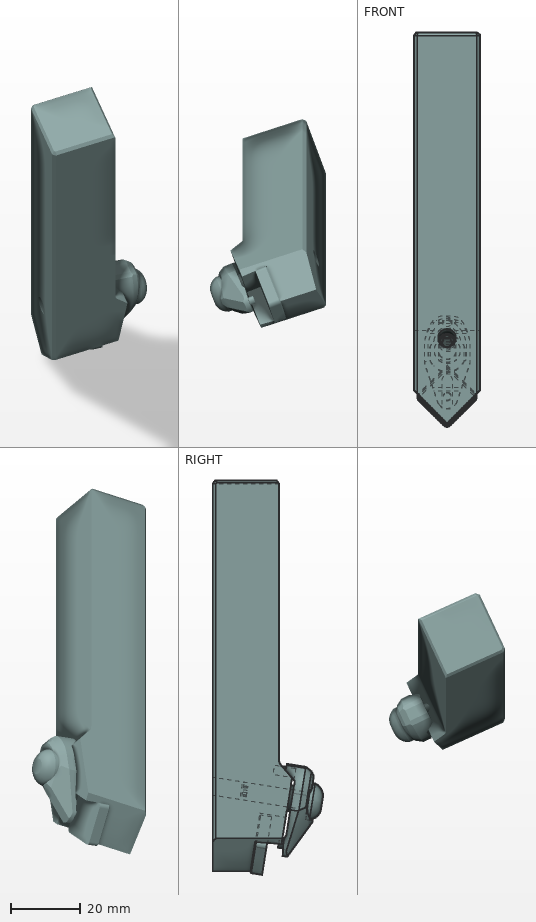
import cadquery as cq
import math

LENGTH = 113.6
WIDTH = 19.1
DEPTH = 19.1
EDGE_CHAMFER = 0.9
TOP_CHAMFER = 0.7
TIP_Z = 1.0

TILT = 9.0
AXIS_Y = 21.9
AXIS_Z = 22.2
HEAD_TOP_Y = 22.8
SHOULDER_ANGLE = 50.0
SHOULDER_FILLET = 2.3

SHIM_SIDE = 12.7
SQUARE_TURN = 45.0
SHIM_THICKNESS = 3.5
SHIM_CORNER = 1.1
SHIM_CHAMFER = 0.3
SHIM_TOP_Y = 15.6
SHIM_CENTRE_Z = 8.4

CLAMP_HALF_WIDTH = 6.6
CLAMP_REAR = 9.7
CLAMP_REAR_HALF_WIDTH = 2.6
CLAMP_REAR_FLAT = 1.7
CLAMP_REAR_SLOPE = 17.0
CLAMP_SIDE_START = 1.6
CLAMP_SIDE_END = -3.3
CLAMP_TIP = -16.8
CLAMP_TIP_RADIUS = 3.0
CLAMP_GAP = 0.9
CLAMP_WALL_HEIGHT = 3.4
LOWER_BEVEL_HEIGHT = 1.8
CLAMP_TOP = 6.1
CLAMP_PEAK = 7.8
CLAMP_PEAK_POSITION = -5.7
LOWER_BEVEL = 30.0
UPPER_BEVEL = 55.0
NOSE_BEVEL = 45.0
NOSE_CREST_HALF_WIDTH = 1.5
HOOK_DEPTH = 2.2
NOSE_HEIGHT = 2.2
NOSE_PAD_START = -11.8
NOSE_PAD_HEIGHT = 0.4
NOSE_PAD_END = -10.7
NOSE_TIP_HEIGHT = 0.8
PEG_RADIUS = 1.1
PEG_POSITION = -13.5
PEG_END = -0.9

SCREW_RADIUS = 2.56
SCREW_END = -14.0
SCREW_END_CHAMFER = 0.5
HEAD_RADIUS = 5.3
HEAD_SEAT = 5.7
HEAD_RIM = 6.8
HEAD_TOP = 9.7
HEAD_TOP_RADIUS = 2.3
DOME_MID_RADIUS = 4.3
DOME_MID_HEIGHT = 8.5
SOCKET_RADIUS = 1.4
SOCKET_LOBE_RADIUS = 0.3
SOCKET_LOBES = 6
SOCKET_DEPTH = 1.7

WASHER_RADIUS = 3.7
PIN_RADIUS = 1.4
PIN_POSITION = 7.4
PIN_START = -5.7
PIN_END = 0.6

SIN = math.sin(math.radians(TILT))
COS = math.cos(math.radians(TILT))
SHOULDER_BOTTOM_Z = AXIS_Z + (HEAD_TOP_Y - AXIS_Y) * COS / SIN
SHOULDER_POSITION = (HEAD_TOP_Y - AXIS_Y) / SIN
SHOULDER_SLOPE = math.tan(math.radians(SHOULDER_ANGLE - TILT))
SHOULDER_TOP_Z = SHOULDER_BOTTOM_Z + (HEAD_TOP_Y - DEPTH) * math.tan(math.radians(SHOULDER_ANGLE))
REACH = 68.2


def tilted_plane(y, z):
    """Plane leaning by TILT: local x is X, local y points up the slope, the normal points outward."""
    return cq.Plane(origin=(0, y, z), xDir=(-1, 0, 0), normal=(0, COS, -SIN))


def clamp_plane(height=0.0):
    """Plane parallel to the clamping face, centred on the clamp screw axis."""
    return tilted_plane(AXIS_Y + height * COS, AXIS_Z - height * SIN)


def cylinder(radius, start, end, position=0.0):
    """Cylinder parallel to the clamp screw axis, shifted up the clamping face by position."""
    return cq.Workplane(clamp_plane(start)).center(0, position).circle(radius).extrude(end - start)


def face_y(z):
    """Y of the clamping face at height z."""
    return AXIS_Y + (z - AXIS_Z) * SIN / COS


def make_shim():
    shim = (
        cq.Workplane(tilted_plane(SHIM_TOP_Y, SHIM_CENTRE_Z))
        .transformed(rotate=(0, 0, SQUARE_TURN))
        .rect(SHIM_SIDE, SHIM_SIDE)
        .extrude(-SHIM_THICKNESS)
    )
    along_normal = cq.Vector(0, COS, -SIN)
    shim = shim.edges(cq.selectors.ParallelDirSelector(along_normal)).fillet(SHIM_CORNER)
    lower_face = cq.selectors.DirectionMinMaxSelector(along_normal, False)
    return shim.faces(lower_face).chamfer(SHIM_CHAMFER)


def make_pocket():
    """Space above the shim seat, reaching out through the clamping face."""
    seat = tilted_plane(SHIM_TOP_Y - SHIM_THICKNESS * COS, SHIM_CENTRE_Z + SHIM_THICKNESS * SIN)
    return (
        cq.Workplane(seat).transformed(rotate=(0, 0, SQUARE_TURN)).rect(SHIM_SIDE, SHIM_SIDE).extrude(REACH)
    )


def make_holder():
    holder = (
        cq.Workplane("YZ")
        .polyline(
            [
                (0, TIP_Z),
                (0, LENGTH),
                (DEPTH, LENGTH),
                (DEPTH, SHOULDER_TOP_Z),
                (HEAD_TOP_Y, SHOULDER_BOTTOM_Z),
                (face_y(TIP_Z), TIP_Z),
            ]
        )
        .close()
        .extrude(WIDTH / 2, both=True)
    )
    shoulder = cq.selectors.NearestToPointSelector((0, DEPTH, SHOULDER_TOP_Z))
    holder = holder.edges(shoulder).fillet(SHOULDER_FILLET)
    holder = holder.edges("|Z and <Y").chamfer(EDGE_CHAMFER)
    holder = holder.faces(">Z").chamfer(TOP_CHAMFER, EDGE_CHAMFER)

    point = (
        cq.Workplane("XZ")
        .moveTo(0, TIP_Z)
        .lineTo(LENGTH, TIP_Z + LENGTH)
        .lineTo(-LENGTH, TIP_Z + LENGTH)
        .close()
        .extrude(-REACH)
    )
    holder = holder.intersect(point)
    holder = holder.cut(make_pocket())
    holder = holder.cut(cylinder(SCREW_RADIUS, -REACH, REACH))
    return holder.cut(cylinder(PIN_RADIUS, PIN_START, PIN_END, PIN_POSITION))


def clamp_outline(height):
    """Outline of the clamp in a plane parallel to the clamping face."""
    side_drop = CLAMP_HALF_WIDTH - CLAMP_REAR_HALF_WIDTH
    rear_length = CLAMP_REAR - CLAMP_SIDE_START
    rear_radius = (side_drop**2 + rear_length**2) / (2 * side_drop)
    arc_middle = CLAMP_SIDE_START + rear_length / 2
    arc_middle_x = CLAMP_HALF_WIDTH - rear_radius + math.sqrt(rear_radius**2 - (rear_length / 2) ** 2)

    tip_centre = CLAMP_TIP + CLAMP_TIP_RADIUS
    flank_rise = CLAMP_SIDE_END - tip_centre
    flank_angle = math.acos(CLAMP_TIP_RADIUS / math.hypot(CLAMP_HALF_WIDTH, flank_rise))
    tangent_angle = math.atan2(flank_rise, CLAMP_HALF_WIDTH) - flank_angle
    tangent_x = CLAMP_TIP_RADIUS * math.cos(tangent_angle)
    tangent_y = tip_centre + CLAMP_TIP_RADIUS * math.sin(tangent_angle)

    return (
        cq.Workplane(clamp_plane(height))
        .moveTo(-CLAMP_REAR_HALF_WIDTH, CLAMP_REAR)
        .lineTo(CLAMP_REAR_HALF_WIDTH, CLAMP_REAR)
        .threePointArc((arc_middle_x, arc_middle), (CLAMP_HALF_WIDTH, CLAMP_SIDE_START))
        .lineTo(CLAMP_HALF_WIDTH, CLAMP_SIDE_END)
        .lineTo(tangent_x, tangent_y)
        .threePointArc((0, CLAMP_TIP), (-tangent_x, tangent_y))
        .lineTo(-CLAMP_HALF_WIDTH, CLAMP_SIDE_END)
        .lineTo(-CLAMP_HALF_WIDTH, CLAMP_SIDE_START)
        .threePointArc((-arc_middle_x, arc_middle), (-CLAMP_REAR_HALF_WIDTH, CLAMP_REAR))
        .close()
    )


def clamp_profile():
    """Side profile of the clamp, across its width; local x points out of the face, local y up it."""
    sideways = cq.Plane(origin=(0, AXIS_Y, AXIS_Z), xDir=(0, COS, -SIN), normal=(1, 0, 0))
    return (
        cq.Workplane(sideways)
        .polyline(
            [
                (-HOOK_DEPTH, CLAMP_REAR),
                (CLAMP_TOP, CLAMP_REAR),
                (CLAMP_TOP, 0),
                (CLAMP_PEAK, CLAMP_PEAK_POSITION),
                (NOSE_HEIGHT, CLAMP_TIP),
                (NOSE_TIP_HEIGHT, CLAMP_TIP),
                (NOSE_PAD_HEIGHT, NOSE_PAD_START),
                (CLAMP_GAP, NOSE_PAD_END),
                (CLAMP_GAP, SHOULDER_POSITION - CLAMP_GAP * SHOULDER_SLOPE),
                (-HOOK_DEPTH, SHOULDER_POSITION + HOOK_DEPTH * SHOULDER_SLOPE),
            ]
        )
        .close()
        .extrude(CLAMP_HALF_WIDTH, both=True)
    )


def rear_corner(side):
    """Corner prism that chamfers one upright edge of the clamp's rear; side is -1 or 1."""
    drop = (CLAMP_HALF_WIDTH - CLAMP_REAR_FLAT) * math.tan(math.radians(CLAMP_REAR_SLOPE))
    return (
        cq.Workplane(clamp_plane(-HOOK_DEPTH))
        .moveTo(side * CLAMP_REAR_FLAT, CLAMP_REAR)
        .lineTo(side * CLAMP_HALF_WIDTH, CLAMP_REAR)
        .lineTo(side * CLAMP_HALF_WIDTH, CLAMP_REAR - drop)
        .close()
        .extrude(HOOK_DEPTH + CLAMP_PEAK)
    )


def nose_bevel(side):
    """Wedge above one flank of the nose, running along the ramp; side is -1 or 1."""
    ramp_slope = math.atan2(CLAMP_PEAK - NOSE_HEIGHT, CLAMP_PEAK_POSITION - CLAMP_TIP)
    lean = ramp_slope + math.radians(TILT)
    ramp_y = AXIS_Y + NOSE_HEIGHT * COS + CLAMP_TIP * SIN
    ramp_z = AXIS_Z - NOSE_HEIGHT * SIN + CLAMP_TIP * COS
    across = cq.Plane(
        origin=(0, ramp_y, ramp_z), xDir=(1, 0, 0), normal=(0, math.sin(lean), math.cos(lean))
    )
    width = 2 * CLAMP_HALF_WIDTH
    return (
        cq.Workplane(across)
        .moveTo(side * NOSE_CREST_HALF_WIDTH, 0)
        .lineTo(side * (NOSE_CREST_HALF_WIDTH + width), 0)
        .lineTo(side * (NOSE_CREST_HALF_WIDTH + width), -width * math.tan(math.radians(NOSE_BEVEL)))
        .close()
        .extrude(REACH, both=True)
    )


def make_clamp():
    walls = clamp_outline(-HOOK_DEPTH).extrude(HOOK_DEPTH + CLAMP_WALL_HEIGHT)
    outward = cq.selectors.DirectionMinMaxSelector(cq.Vector(0, COS, -SIN))
    lower = clamp_outline(CLAMP_WALL_HEIGHT).extrude(LOWER_BEVEL_HEIGHT, taper=LOWER_BEVEL)
    upper_height = CLAMP_PEAK - CLAMP_WALL_HEIGHT - LOWER_BEVEL_HEIGHT
    upper_outline = lower.faces(outward).wires().toPending().workplane()
    upper = upper_outline.extrude(upper_height, taper=UPPER_BEVEL, combine=False)
    clamp = walls.union(lower).union(upper).intersect(clamp_profile())
    for side in (-1, 1):
        clamp = clamp.cut(rear_corner(side)).cut(nose_bevel(side))
    clamp = clamp.union(cylinder(PEG_RADIUS, PEG_END, NOSE_HEIGHT, PEG_POSITION))
    clamp = clamp.cut(cylinder(HEAD_RADIUS, HEAD_SEAT, HEAD_TOP))
    clamp = clamp.cut(cylinder(SCREW_RADIUS, -HOOK_DEPTH, HEAD_SEAT))
    return clamp.cut(cylinder(PIN_RADIUS, PIN_START, PIN_END, PIN_POSITION))


def socket():
    """Six-lobed key socket in the inner end of the screw."""
    tool = cylinder(SOCKET_RADIUS, SCREW_END, SCREW_END + SOCKET_DEPTH)
    for lobe in range(SOCKET_LOBES):
        angle = 2 * math.pi * lobe / SOCKET_LOBES
        lobe_axis = (SOCKET_RADIUS * math.cos(angle), SOCKET_RADIUS * math.sin(angle))
        tool = tool.union(
            cq.Workplane(clamp_plane(SCREW_END))
            .center(*lobe_axis)
            .circle(SOCKET_LOBE_RADIUS)
            .extrude(SOCKET_DEPTH)
        )
    return tool


def make_screw():
    lengthwise = cq.Plane(origin=(0, AXIS_Y, AXIS_Z), xDir=(1, 0, 0), normal=(0, SIN, COS))
    half_section = (
        cq.Workplane(lengthwise)
        .moveTo(0, SCREW_END)
        .lineTo(SCREW_RADIUS - SCREW_END_CHAMFER, SCREW_END)
        .lineTo(SCREW_RADIUS, SCREW_END + SCREW_END_CHAMFER)
        .lineTo(SCREW_RADIUS, HEAD_SEAT)
        .lineTo(HEAD_RADIUS, HEAD_SEAT)
        .lineTo(HEAD_RADIUS, HEAD_RIM)
        .threePointArc((DOME_MID_RADIUS, DOME_MID_HEIGHT), (HEAD_TOP_RADIUS, HEAD_TOP))
        .lineTo(0, HEAD_TOP)
        .close()
    )
    return half_section.revolve(360, (0, 0, 0), (0, 1, 0)).cut(socket())


def make_washer():
    return cylinder(WASHER_RADIUS, 0, CLAMP_GAP).cut(cylinder(SCREW_RADIUS, 0, CLAMP_GAP))


holder = make_holder()
shim = make_shim()
clamp = make_clamp()
screw = make_screw()
washer = make_washer()
guide_pin = cylinder(PIN_RADIUS, PIN_START, PIN_END, PIN_POSITION)

result = cq.Compound.makeCompound(
    [
        holder.val(),
        shim.val(),
        clamp.val(),
        screw.val(),
        washer.val(),
        guide_pin.val(),
    ]
)